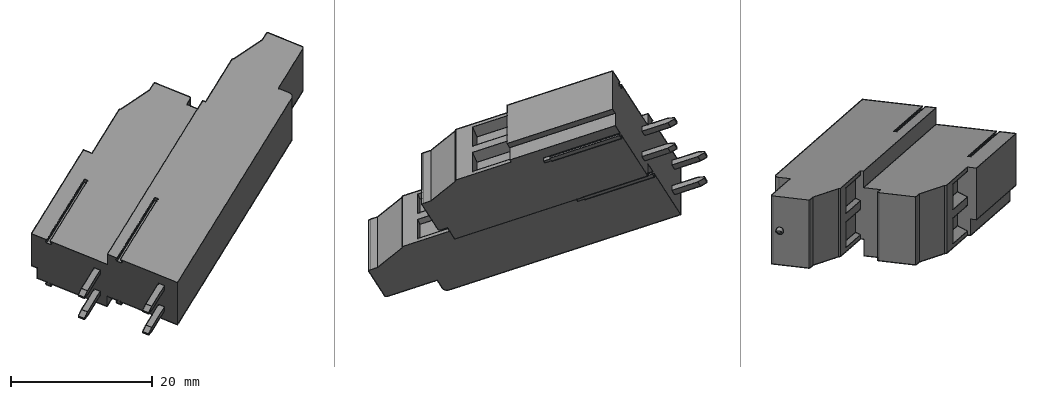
import cadquery as cq

pole_pitch = 5.1
module_height = 2 * pole_pitch
stagger_x = 11.1
stagger_z = 2.45
overlap_height = module_height - stagger_z

spacer_width = 0.9
lower_left = spacer_width
upper_left = lower_left + stagger_x
outer_right = 23.1
module_width = outer_right - upper_left
upper_middle_z = stagger_z + module_height / 2

lower_step_y = 16.4
lower_shoulder_y = 30.05
lower_top_y = 31.4
upper_step_y = lower_shoulder_y
upper_shoulder_y = 36.7
upper_top_y = 44.75

step_depth = 0.45
head_left = 2.75
head_right = 8.6
lip_length = 1.45
slope_length = 4.75
lip_chamfer_x = 0.075
lip_chamfer_y = 0.35
head_fillet = 0.3
shoulder_fillet = 0.75
slope_foot = 0.225

window_length = 6.0
window_height = 3.8
lower_window_depth = 1.5
lower_window_taper = 0.6
upper_window_depth = 0.75
upper_window_taper = 0.3

rail_offset_x = 1.8
rail_length = 11.85
rail_lead_length = 1.05
rail_depth = 0.65
rail_neck_width = 0.4
rail_wide_depth = 0.45
rail_wide_width = 0.9
rail_base_width = 0.7
groove_depth = 0.75
groove_neck_width = 0.45
groove_wide_depth = 0.5
groove_wide_width = 1.0
groove_base_width = 0.6

pin_length = 5.05
pin_width = 0.95
pin_tip_length = 1.0
pin_tip_height = 0.3
pin_embed = 0.5
lower_pin_x = 10.4
pin_spacing_x = 2 * pole_pitch

nub_height = 0.5
nub_offset_x = 7.25
nub_base_diameter = 1.1
nub_tip_width = 0.9
nub_tip_height = 0.3


def module_body(left, bottom, step_y, shoulder_y, top_y):
    """Housing of one module: its plan outline extruded upward, with one head corner rounded."""
    right = left + module_width
    wall = left + step_depth
    lip_x = left + head_left
    slope_top = top_y - lip_length
    slope_bottom = slope_top - slope_length
    outline = [
        (left, 0),
        (right, 0),
        (right, shoulder_y),
        (left + head_right, shoulder_y),
        (left + head_right, top_y),
        (lip_x + lip_chamfer_x, top_y),
        (lip_x, top_y - lip_chamfer_y),
        (lip_x, slope_top),
        (wall + slope_foot, slope_bottom),
        (wall, slope_bottom - slope_foot),
        (wall, step_y),
        (left, step_y),
    ]
    body = cq.Workplane("XY").workplane(offset=bottom).polyline(outline).close().extrude(module_height)
    middle_z = bottom + module_height / 2
    head_corner = cq.selectors.NearestToPointSelector((left + head_right, top_y, middle_z))
    return body.edges("|Z").edges(head_corner).fillet(head_fillet)


def windows(left, bottom, step_y, depth, taper):
    """Two wire entries in the left wall, tapering in height toward their floors."""
    wall = left + step_depth
    cutters = cq.Workplane("XY")
    for side in (-1, 1):
        middle = bottom + module_height / 2 + side * pole_pitch / 2
        half_mouth = window_height / 2
        half_floor = half_mouth - taper
        section = [
            (wall, middle - half_mouth),
            (wall + depth, middle - half_floor),
            (wall + depth, middle + half_floor),
            (wall, middle + half_mouth),
        ]
        cutter = cq.Workplane("XZ").workplane(offset=-step_y).polyline(section).close().extrude(-window_length)
        cutters = cutters.add(cutter)
    return cutters.combine()


def dovetail(x, z, length, neck, wide, base, wide_depth, depth):
    """Bar along Y hanging from height z: widens to wide_depth, then narrows to its base."""
    section = [
        (x - neck / 2, z),
        (x + neck / 2, z),
        (x + wide / 2, z - wide_depth),
        (x + base / 2, z - depth),
        (x - base / 2, z - depth),
        (x - wide / 2, z - wide_depth),
    ]
    return cq.Workplane("XZ").polyline(section).close().extrude(-length)


def rail(left, bottom):
    """Dovetail rail with a straight, narrow lead-in at its far end."""
    x = left + rail_offset_x
    bar = dovetail(
        x, bottom, rail_length - rail_lead_length,
        rail_neck_width, rail_wide_width, rail_base_width, rail_wide_depth, rail_depth,
    )
    neck = cq.Workplane("XY").box(rail_neck_width, rail_length, rail_depth, centered=(True, False, False))
    return bar.union(neck.translate((x, 0, bottom - rail_depth)))


def groove(left, bottom):
    """Dovetail groove in the top side of a module."""
    return dovetail(
        left + rail_offset_x, bottom + module_height, rail_length,
        groove_neck_width, groove_wide_width, groove_base_width, groove_wide_depth, groove_depth,
    )


def pin(x, z):
    """Square pin whose tip tapers in height only."""
    half = pin_width / 2
    half_tip = pin_tip_height / 2
    taper_y = pin_tip_length - pin_length
    profile = [
        (pin_embed, z - half),
        (pin_embed, z + half),
        (taper_y, z + half),
        (-pin_length, z + half_tip),
        (-pin_length, z - half_tip),
        (taper_y, z - half),
    ]
    return cq.Workplane("YZ").workplane(offset=x - half).polyline(profile).close().extrude(pin_width)


def spacer(left, step_y):
    """Filler on a module's left side, over the height shared by both modules."""
    block = cq.Workplane("XY").box(spacer_width, step_y, overlap_height, centered=False)
    return block.translate((left - spacer_width, 0, stagger_z))


def end_nub():
    """Small round nub that narrows to a flat ridge along X."""
    return (
        cq.Workplane("XZ", origin=(upper_left + nub_offset_x, upper_top_y, upper_middle_z))
        .ellipse(nub_base_diameter / 2, nub_base_diameter / 2)
        .workplane(offset=-nub_height)
        .ellipse(nub_tip_width / 2, nub_tip_height / 2)
        .loft()
    )


lower = module_body(lower_left, 0, lower_step_y, lower_shoulder_y, lower_top_y)
lower = lower.cut(windows(lower_left, 0, lower_step_y, lower_window_depth, lower_window_taper))

upper = module_body(upper_left, stagger_z, upper_step_y, upper_shoulder_y, upper_top_y)
shoulder_corner = cq.selectors.NearestToPointSelector((outer_right, upper_shoulder_y, upper_middle_z))
upper = upper.edges("|Z").edges(shoulder_corner).fillet(shoulder_fillet)
upper = upper.cut(windows(upper_left, stagger_z, upper_step_y, upper_window_depth, upper_window_taper))

result = lower.union(upper)
result = result.union(spacer(lower_left, lower_step_y)).union(spacer(upper_left, upper_step_y))
for module_left, module_bottom in ((lower_left, 0), (upper_left, stagger_z)):
    result = result.cut(groove(module_left, module_bottom))
    result = result.union(rail(module_left, module_bottom))

for level in (0, 1):
    for row in (0, 1):
        pin_z = (level + 1) * pole_pitch / 2 + row * pole_pitch
        result = result.union(pin(lower_pin_x + level * pin_spacing_x, pin_z))

result = result.union(end_nub())